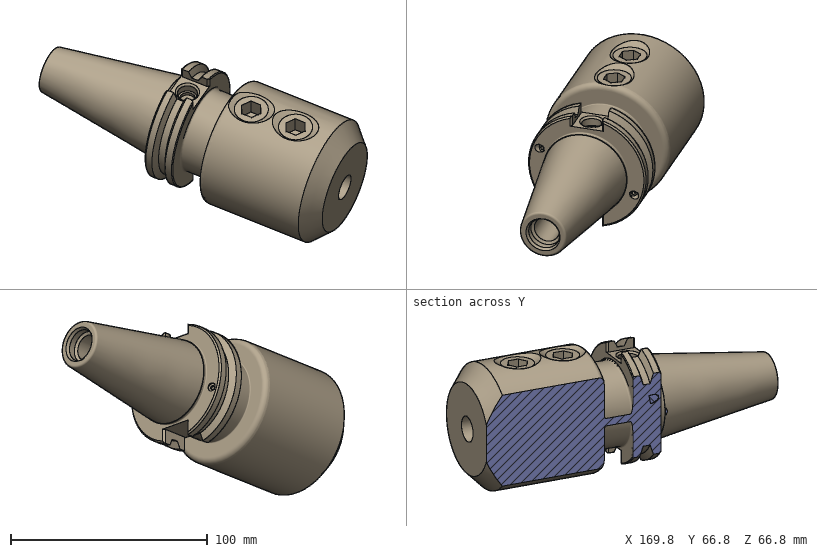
import cadquery as cq
import math

total_length = 169.8
taper_ratio = 7 / 24
taper_end_x = 68.3
taper_land = 0.7
gauge_diameter = 44.5
tail_fillet = 1.2

relief_diameter = 44.0
flange_start_x = 71.2
flange_end_x = 87.3
flange_diameter = 62.8
flange_front_chamfer = 0.8
flange_back_chamfer = 0.5
flange_root_fillet = 0.5

groove_centre_x = 79.3
groove_floor_width = 3.7
groove_depth = 3.5
groove_flank_angle = 28.0

neck_diameter = gauge_diameter
neck_flange_fillet = 1.0
neck_body_fillet = 0.5

body_start_x = 103.1
body_diameter = 66.8
body_fillet = 3.0
nose_chamfer = 9.0

bore_diameter = 13.5
thread_diameter = 16.5
mouth_diameter = 18.2
mouth_depth = 1.7
thread_end_x = 5.3
thread_cone_angle = 120.0

slot_width = 16.0
slot_edge_chamfer = 1.0
top_slot_floor_z = 24.8
bottom_slot_floor_z = -22.8

chip_diameter = 10.2
chip_countersink_diameter = 12.2
chip_depth = 5.0
drill_diameter = 8.0
drill_depth = 6.8
drill_point_angle = 118.0

first_screw_x = 116.0
screw_spacing = 25.5
screw_diameter = 17.3
screw_length = 17.0
screw_top_z = 31.3
screw_countersink_angle = 120.0
screw_hex_width = 9.7
screw_hex_depth = 8.5

plug_circle_radius = 27.0
plug_angles = (20.0, 200.0)
plug_diameter = 4.2
plug_tilt = 30.0
plug_recess = 2.0
plug_length = 5.1
plug_hex_width = 2.0
plug_hex_depth = 2.0

screw_positions_x = (first_screw_x, first_screw_x + screw_spacing)
flange_middle_x = (flange_start_x + flange_end_x) / 2
tail_radius = (gauge_diameter - taper_end_x * taper_ratio) / 2
flange_radius = flange_diameter / 2
body_radius = body_diameter / 2
hex_corner_factor = 1 / math.cos(math.radians(30))


def outer_shape():
    """Turned outline without the V groove, slots and holes."""
    gauge_radius = gauge_diameter / 2
    relief_start_x = taper_end_x + taper_land
    return (
        cq.Workplane("XY")
        .moveTo(0, 0)
        .lineTo(0, tail_radius)
        .lineTo(taper_end_x, gauge_radius)
        .lineTo(relief_start_x, gauge_radius)
        .lineTo(relief_start_x, relief_diameter / 2)
        .lineTo(flange_start_x - flange_root_fillet, relief_diameter / 2)
        .radiusArc((flange_start_x, relief_diameter / 2 + flange_root_fillet), -flange_root_fillet)
        .lineTo(flange_start_x, flange_radius - flange_front_chamfer)
        .lineTo(flange_start_x + flange_front_chamfer, flange_radius)
        .lineTo(flange_end_x - flange_back_chamfer, flange_radius)
        .lineTo(flange_end_x, flange_radius - flange_back_chamfer)
        .lineTo(flange_end_x, neck_diameter / 2 + neck_flange_fillet)
        .radiusArc((flange_end_x + neck_flange_fillet, neck_diameter / 2), -neck_flange_fillet)
        .lineTo(body_start_x - neck_body_fillet, neck_diameter / 2)
        .radiusArc((body_start_x, neck_diameter / 2 + neck_body_fillet), -neck_body_fillet)
        .lineTo(body_start_x, body_radius - body_fillet)
        .radiusArc((body_start_x + body_fillet, body_radius), body_fillet)
        .lineTo(total_length - nose_chamfer, body_radius)
        .lineTo(total_length, body_radius - nose_chamfer)
        .lineTo(total_length, 0)
        .close()
        .revolve(360, (0, 0, 0), (1, 0, 0))
        .faces("<X")
        .edges()
        .fillet(tail_fillet)
    )


def groove_ring():
    """V groove around the flange."""
    floor_radius = flange_radius - groove_depth
    half_floor = groove_floor_width / 2
    half_mouth = half_floor + groove_depth * math.tan(math.radians(groove_flank_angle))
    return (
        cq.Workplane("XY")
        .polyline([
            (groove_centre_x - half_floor, floor_radius),
            (groove_centre_x - half_mouth, flange_radius),
            (groove_centre_x + half_mouth, flange_radius),
            (groove_centre_x + half_floor, floor_radius),
        ])
        .close()
        .revolve(360, (0, 0, 0), (1, 0, 0))
    )


def bore():
    """Bore through the holder, wider at the tail end."""
    cone_step = (thread_diameter - bore_diameter) / 2
    cone_length = cone_step / math.tan(math.radians(thread_cone_angle / 2))
    return (
        cq.Workplane("XY")
        .polyline([
            (0, 0),
            (0, mouth_diameter / 2),
            (mouth_depth, thread_diameter / 2),
            (thread_end_x, thread_diameter / 2),
            (thread_end_x + cone_length, bore_diameter / 2),
            (total_length, bore_diameter / 2),
            (total_length, 0),
        ])
        .close()
        .revolve(360, (0, 0, 0), (1, 0, 0))
    )


def drive_slot(floor_z, outward):
    """Slot through the flange along X, flared at its front and back edges."""
    half = slot_width / 2
    flared = half + slot_edge_chamfer
    return (
        cq.Workplane("XY", origin=(0, 0, floor_z))
        .polyline([
            (flange_start_x, -flared),
            (flange_start_x + slot_edge_chamfer, -half),
            (flange_end_x - slot_edge_chamfer, -half),
            (flange_end_x, -flared),
            (flange_end_x, flared),
            (flange_end_x - slot_edge_chamfer, half),
            (flange_start_x + slot_edge_chamfer, half),
            (flange_start_x, flared),
        ])
        .close()
        .extrude(outward * flange_radius)
    )


def turned_about_z(x, points):
    """Solid of revolution about a vertical line at the given X, from (radius, z) points."""
    return (
        cq.Workplane("XZ", origin=(x, 0, 0))
        .polyline(points)
        .close()
        .revolve(360, (0, 0, 0), (0, 1, 0))
    )


def chip_hole():
    """Countersunk, stepped hole with a conical bottom, in the middle of the upper slot."""
    top = top_slot_floor_z
    countersink_depth = (chip_countersink_diameter - chip_diameter) / 2
    point_height = drill_diameter / 2 / math.tan(math.radians(drill_point_angle / 2))
    return turned_about_z(flange_middle_x, [
        (0, top),
        (chip_countersink_diameter / 2, top),
        (chip_diameter / 2, top - countersink_depth),
        (chip_diameter / 2, top - chip_depth),
        (drill_diameter / 2, top - chip_depth),
        (drill_diameter / 2, top - drill_depth),
        (0, top - drill_depth - point_height),
    ])


def screw_hole(x):
    """Blind hole for a clamp screw, opening in a countersink above the screw."""
    countersink_slope = math.tan(math.radians(screw_countersink_angle / 2))
    mouth_radius = screw_diameter / 2 + (body_radius - screw_top_z) * countersink_slope
    return turned_about_z(x, [
        (0, body_radius),
        (mouth_radius, body_radius),
        (screw_diameter / 2, screw_top_z),
        (screw_diameter / 2, screw_top_z - screw_length),
        (0, screw_top_z - screw_length),
    ])


def socket_screw(plane, diameter, length, hex_width, hex_depth):
    """Headless screw whose outer end lies on the plane and which extends against its normal."""
    return (
        cq.Workplane(plane)
        .circle(diameter / 2)
        .extrude(-length)
        .cut(cq.Workplane(plane).polygon(6, hex_width * hex_corner_factor).extrude(-hex_depth))
    )


def clamp_screw(x):
    """Upright screw with a hexagon socket, set below the top of the body."""
    plane = cq.Plane(origin=(x, 0, screw_top_z), xDir=(1, 0, 0), normal=(0, 0, 1))
    return socket_screw(plane, screw_diameter, screw_length, screw_hex_width, screw_hex_depth)


def plug_plane(angle, depth):
    """Plane across a plug axis at the given depth below the flange face, facing outward."""
    turn = math.radians(angle)
    tilt = math.radians(plug_tilt)
    radial = cq.Vector(0, math.cos(turn), math.sin(turn))
    outward = cq.Vector(-math.cos(tilt), 0, 0) + radial * math.sin(tilt)
    mouth = cq.Vector(flange_start_x, 0, 0) + radial * plug_circle_radius
    across = cq.Vector(0, -math.sin(turn), math.cos(turn))
    return cq.Plane(origin=mouth - outward * depth, xDir=across, normal=outward)


def plug_hole(angle):
    """Blind tilted hole for a plug, cut past the flange face so that it opens fully."""
    mouth_overrun = plug_diameter
    return (
        cq.Workplane(plug_plane(angle, plug_recess + plug_length))
        .circle(plug_diameter / 2)
        .extrude(plug_length + plug_recess + mouth_overrun)
    )


def flange_plug(angle):
    """Plug with a hexagon socket, set below the flange face."""
    plane = plug_plane(angle, plug_recess)
    return socket_screw(plane, plug_diameter, plug_length, plug_hex_width, plug_hex_depth)


holder = (
    outer_shape()
    .cut(groove_ring())
    .cut(bore())
    .cut(drive_slot(top_slot_floor_z, 1))
    .cut(drive_slot(bottom_slot_floor_z, -1))
    .cut(chip_hole())
)
for x in screw_positions_x:
    holder = holder.cut(screw_hole(x))
for angle in plug_angles:
    holder = holder.cut(plug_hole(angle))

clamp_screws = [clamp_screw(x).val() for x in screw_positions_x]
flange_plugs = [flange_plug(angle).val() for angle in plug_angles]

result = cq.Compound.makeCompound([holder.val(), *clamp_screws, *flange_plugs])